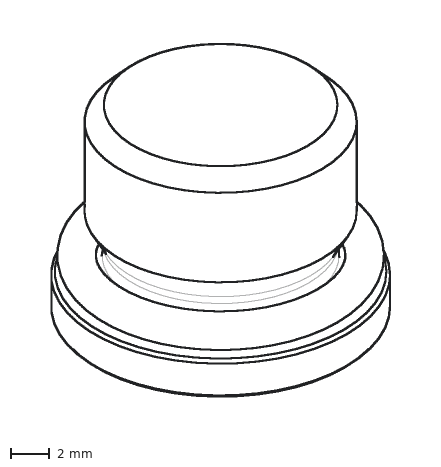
import cadquery as cq
import math

flange_dia = 17.5
plug_height = 12.4
flange_height = 2.31
flange_chamfer = 0.2
neck_dia = 12.23
head_dia = 14.05
head_chamfer = 1.0
head_bottom_z = 5.98
taper_angle = math.radians(30)
neck_fillet = 1.0

ring_outer_dia = 16.87
ring_section_dia = 2.0

flange_radius = flange_dia / 2
neck_radius = neck_dia / 2
head_radius = head_dia / 2
ring_section_radius = ring_section_dia / 2
ring_path_radius = ring_outer_dia / 2 - ring_section_radius
ring_center_z = flange_height + ring_section_radius


def make_plug():
    """Flanged plug, turned about Z from half of its cross-section."""
    round_top_radius = neck_radius + neck_fillet * (1 - math.cos(taper_angle))
    round_top_z = head_bottom_z - (head_radius - round_top_radius) / math.tan(taper_angle)
    round_bottom_z = round_top_z - neck_fillet * math.sin(taper_angle)
    half_angle = taper_angle / 2
    round_middle = (
        neck_radius + neck_fillet * (1 - math.cos(half_angle)),
        round_bottom_z + neck_fillet * math.sin(half_angle),
    )
    root_middle_offset = neck_fillet * (1 - math.sqrt(0.5))
    root_middle = (neck_radius + root_middle_offset, flange_height + root_middle_offset)
    profile = (
        cq.Workplane("XZ")
        .moveTo(0, 0)
        .lineTo(flange_radius - flange_chamfer, 0)
        .lineTo(flange_radius, flange_chamfer)
        .lineTo(flange_radius, flange_height - flange_chamfer)
        .lineTo(flange_radius - flange_chamfer, flange_height)
        .lineTo(neck_radius + neck_fillet, flange_height)
        .threePointArc(root_middle, (neck_radius, flange_height + neck_fillet))
        .lineTo(neck_radius, round_bottom_z)
        .threePointArc(round_middle, (round_top_radius, round_top_z))
        .lineTo(head_radius, head_bottom_z)
        .lineTo(head_radius, plug_height - head_chamfer)
        .lineTo(head_radius - head_chamfer, plug_height)
        .lineTo(0, plug_height)
        .close()
    )
    return profile.revolve(360, (0, 0, 0), (0, 1, 0))


def make_sealing_ring():
    """Round-section ring resting on the flange, around the neck."""
    section = cq.Workplane("XZ").center(ring_path_radius, ring_center_z).circle(ring_section_radius)
    return section.revolve(360, (-ring_path_radius, 0, 0), (-ring_path_radius, 1, 0))


plug = make_plug()
sealing_ring = make_sealing_ring()

result = cq.Compound.makeCompound([plug.val(), sealing_ring.val()])